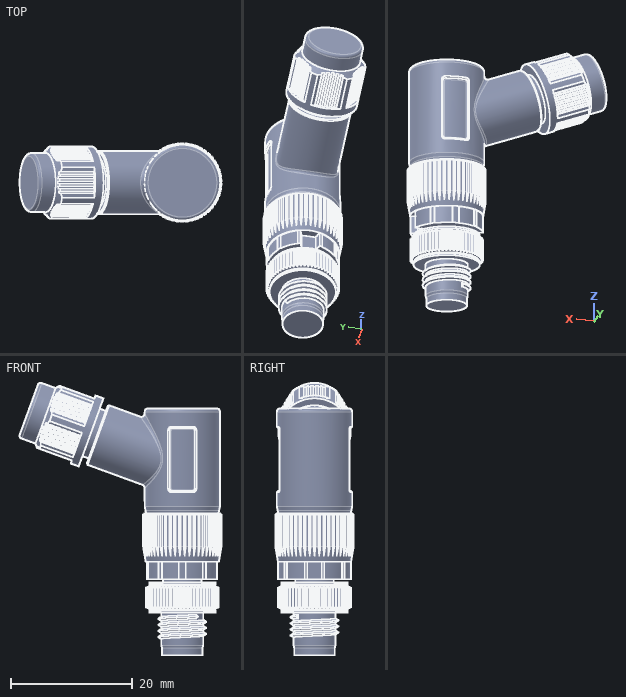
import cadquery as cq
import math


tip_radius = 3.37
tip_height = 1.23
plug_radius = 3.5
plug_shoulder_z = 1.7
thread_radius = 4.0
thread_pitch = 1.0
thread_turns = 3.53
thread_start_angle = 120.0
thread_start_z = 2.88
thread_root_width = 0.85
thread_embed = 0.15

nut_bottom_z = 7.06
nut_top_z = 12.07
nut_radius = 6.05
nut_rim_radius = 5.5
nut_notch_radius = 5.35
nut_rim_height = 0.33
nut_notch_height = 0.26
nut_chamfer_height = 0.31
nut_knurl_count = 60
nut_knurl_root_radius = 5.75
nut_knurl_land = 0.12

neck_radius = 3.2
collar_bottom_z = 12.58
collar_radius = 6.08
collar_panel_radius = 5.98
front_rib_width = 1.1
side_rib_width = 0.72
side_rib_angle = 37.5
slot_floor_width = 2.36
slot_floor_radius = 4.6
slot_mouth_width = 3.28
slot_mouth_radius = 5.85
slot_rib_width = 4.15

sleeve_bottom_z = 15.46
sleeve_cone_top_z = 18.0
sleeve_top_z = 23.48
sleeve_radius = 6.5
sleeve_bottom_radius = 6.07
sleeve_top_chamfer = 0.25
sleeve_knurl_count = 50
sleeve_knurl_root_radius = 6.24
sleeve_knurl_land = 0.4

body_radius = 6.25
body_foot_radius = 6.0
body_taper_radius = 6.12
body_taper_z = 23.97
body_straight_z = 24.66
body_top_z = 40.83
body_top_fillet = 0.57

plate_center_z = 32.38
plate_width = 4.75
plate_height = 10.85
plate_corner_radius = 0.35
plate_depth = 0.46
plate_bevel = 0.27
plate_foot_fillet = 0.185

arm_tilt = 20.0
arm_axis_z = 31.36
arm_radius = 5.25
arm_end = 14.95
arm_end_chamfer = 0.2
arm_blend_radius = 0.5
arm_neck_radius = 4.2
gland_start = 16.03
gland_flats_start = 17.45
gland_chamfer_start = 23.12
gland_end = 24.05
gland_radius = 6.0
gland_flat_apothem = 5.46
gland_flat_count = 6
gland_groove_count = 5
gland_groove_pitch = 0.8
gland_groove_width = 0.4
gland_groove_depth = 0.25
cap_radius = 4.9
cap_fillet = 0.5
cap_end = 27.01

knurl_clearance = 0.05

edge_tolerance = 0.05

overlap = 0.5


def turned(outline):
    """Solid of revolution about Z from (radius, z) points, closed along the axis."""
    first_z = outline[0][1]
    last_z = outline[-1][1]
    points = [(0, first_z)] + outline + [(0, last_z)]
    return cq.Workplane("XZ").polyline(points).close().revolve(360, (0, 0), (0, 1))


def cylinder(radius, z_from, z_to):
    """Upright cylinder on the Z axis between two heights."""
    return cq.Workplane("XY").workplane(offset=z_from).circle(radius).extrude(z_to - z_from)


def knurl_prism(count, crest_radius, root_radius, land, z_from, z_to):
    """Toothed prism with V grooves; the teeth stand at 90 degrees and at equal steps from it."""
    pitch_angle = 2 * math.pi / count
    half_land = land / 2 / crest_radius
    points = []
    for tooth in range(count):
        centre = math.pi / 2 + tooth * pitch_angle
        for radius, angle in (
            (crest_radius, centre - half_land),
            (crest_radius, centre + half_land),
            (root_radius, centre + pitch_angle / 2),
        ):
            points.append((radius * math.cos(angle), radius * math.sin(angle)))
    return cq.Workplane("XY").workplane(offset=z_from).polyline(points).close().extrude(z_to - z_from)


def make_plug():
    """Stepped plug barrel with a single-start right-hand external thread."""
    core = turned([
        (tip_radius, 0),
        (tip_radius, tip_height),
        (plug_radius, plug_shoulder_z),
        (plug_radius, nut_bottom_z + overlap),
    ])
    root = plug_radius - thread_embed
    helix = cq.Wire.makeHelix(thread_pitch, thread_pitch * thread_turns, root)
    thread = (
        cq.Workplane("XZ")
        .polyline([
            (root, -thread_root_width / 2),
            (thread_radius, 0),
            (root, thread_root_width / 2),
        ])
        .close()
        .sweep(cq.Workplane(helix), isFrenet=True)
        .rotate((0, 0, 0), (0, 0, 1), thread_start_angle)
        .translate((0, 0, thread_start_z))
    )
    return core.union(thread)


def make_neck():
    """Plain neck between the coupling nut and the collar."""
    return cylinder(neck_radius, nut_top_z - overlap, collar_bottom_z + overlap)


def make_coupling_nut():
    """Knurled nut, symmetric top to bottom, with a notched rim at each end."""
    notch_z = nut_rim_height
    chamfer_z = notch_z + nut_notch_height
    knurl_z = chamfer_z + nut_chamfer_height
    lower_half = [
        (nut_rim_radius, nut_bottom_z),
        (nut_rim_radius, nut_bottom_z + notch_z),
        (nut_notch_radius, nut_bottom_z + chamfer_z),
        (nut_radius, nut_bottom_z + knurl_z),
    ]
    upper_half = [(radius, nut_bottom_z + nut_top_z - z) for radius, z in reversed(lower_half)]
    teeth = knurl_prism(
        nut_knurl_count, nut_radius + knurl_clearance, nut_knurl_root_radius, nut_knurl_land,
        nut_bottom_z, nut_top_z,
    )
    return turned(lower_half + upper_half).intersect(teeth)


def make_collar():
    """Collar with low ribs around it and a keyed slot on the -X and +X sides."""
    height = sleeve_bottom_z - collar_bottom_z
    rib_envelope = cylinder(collar_radius, collar_bottom_z, sleeve_bottom_z)
    collar = cylinder(collar_panel_radius, collar_bottom_z, sleeve_bottom_z)

    def rib(width, angle):
        return (
            cq.Workplane("XY", origin=(0, 0, collar_bottom_z))
            .center(collar_radius / 2, 0)
            .rect(collar_radius, width)
            .extrude(height)
            .rotate((0, 0, 0), (0, 0, 1), angle)
            .intersect(rib_envelope)
        )

    def slot(angle):
        flare = (slot_mouth_width - slot_floor_width) / (slot_mouth_radius - slot_floor_radius)
        outer_radius = collar_radius + overlap
        outer_width = slot_floor_width + flare * (outer_radius - slot_floor_radius)
        return (
            cq.Workplane("XY", origin=(0, 0, collar_bottom_z))
            .polyline([
                (slot_floor_radius, -slot_floor_width / 2),
                (outer_radius, -outer_width / 2),
                (outer_radius, outer_width / 2),
                (slot_floor_radius, slot_floor_width / 2),
            ])
            .close()
            .extrude(height)
            .rotate((0, 0, 0), (0, 0, 1), angle)
        )

    for facing in (-90, 90):
        collar = collar.union(rib(front_rib_width, facing))
        for side in (-1, 1):
            collar = collar.union(rib(side_rib_width, facing + side * side_rib_angle))
    collar = collar.union(rib(slot_rib_width, 180))
    return collar.cut(slot(180)).cut(slot(0))


def make_sleeve():
    """Knurled sleeve whose grooves run out on the cone at its lower end."""
    blank = turned([
        (sleeve_bottom_radius, sleeve_bottom_z),
        (sleeve_radius, sleeve_cone_top_z),
        (sleeve_radius, sleeve_top_z - sleeve_top_chamfer),
        (sleeve_radius - sleeve_top_chamfer, sleeve_top_z),
    ])
    teeth = knurl_prism(
        sleeve_knurl_count, sleeve_radius + knurl_clearance, sleeve_knurl_root_radius, sleeve_knurl_land,
        sleeve_bottom_z, sleeve_top_z,
    )
    return blank.intersect(teeth)


def along_arm(shape):
    """Move a shape built along Z so that it lies on the slanted arm axis."""
    return shape.rotate((0, 0, 0), (0, 1, 0), arm_tilt - 90).translate((0, 0, arm_axis_z))


def make_body_with_arm():
    """Upright body and slanted arm barrel, blended where they meet."""
    body = turned([
        (body_foot_radius, sleeve_top_z),
        (body_taper_radius, body_taper_z),
        (body_radius, body_straight_z),
        (body_radius, body_top_z),
    ])
    body = body.faces(">Z").edges().fillet(body_top_fillet)
    arm = cylinder(arm_radius, 0, arm_end).faces(">Z").chamfer(arm_end_chamfer)
    joined = body.union(along_arm(arm))
    seam_box = cq.selectors.BoxSelector(
        (-body_radius - overlap, -body_radius, body_straight_z + overlap),
        (-overlap, body_radius, body_top_z - body_top_fillet - overlap),
    )
    return joined.edges(seam_box).edges("not %CIRCLE").edges("not %LINE").fillet(arm_blend_radius)


def cut_name_plate(body, side):
    """Sink a rounded window into the flank facing Y = side; its floor is concentric with the body."""
    floor_radius = body_radius - plate_depth
    reach = body_radius + overlap
    window = (
        cq.Workplane("XZ", origin=(0, side * reach, plate_center_z))
        .rect(plate_width - 2 * plate_bevel, plate_height - 2 * plate_bevel)
        .extrude(side * (reach - floor_radius / 2))
        .edges("|Y")
        .fillet(plate_corner_radius)
        .cut(cylinder(floor_radius, body_straight_z, body_top_z))
    )
    recessed = body.cut(window)
    near_rim = cq.selectors.BoxSelector(
        (-plate_width / 2, 0, plate_center_z - plate_height / 2),
        (plate_width / 2, side * reach, plate_center_z + plate_height / 2),
    )

    def edges_at(radius):
        """Window edges whose midpoints lie on the cylinder of this radius."""
        def on_cylinder(edge):
            midpoint = edge.positionAt(0.5)
            return abs(math.hypot(midpoint.x, midpoint.y) - radius) < edge_tolerance
        return recessed.edges(near_rim).filter(on_cylinder)

    recessed = edges_at(body_radius).chamfer(plate_bevel)
    return edges_at(floor_radius).fillet(plate_foot_fillet)


def make_gland_nut():
    """Clamping nut with knurled flats, plus the round cap closing it; built along Z."""
    nut = turned([
        (gland_radius, gland_start),
        (gland_radius, gland_chamfer_start),
        (cap_radius, gland_end),
    ])
    length = cap_end - gland_flats_start
    groove_floor = gland_flat_apothem - gland_groove_depth
    for flat in range(gland_flat_count):
        face = (
            cq.Workplane("XY", origin=(gland_flat_apothem + overlap, 0, gland_flats_start))
            .rect(2 * overlap, 2 * gland_radius)
            .extrude(length)
        )
        grooves = (
            cq.Workplane("XY", origin=(groove_floor + overlap, 0, gland_flats_start))
            .rarray(1, gland_groove_pitch, 1, gland_groove_count)
            .rect(2 * overlap, gland_groove_width)
            .extrude(length)
        )
        turn = flat * 360 / gland_flat_count
        nut = nut.cut(face.union(grooves).rotate((0, 0, 0), (0, 0, 1), turn))
    neck = cylinder(arm_neck_radius, arm_end - overlap, gland_start + overlap)
    cap = cylinder(cap_radius, gland_start + overlap, cap_end).faces(">Z").edges().fillet(cap_fillet)
    return nut.union(neck).union(cap)


result = make_body_with_arm()
for flank in (-1, 1):
    result = cut_name_plate(result, flank)
result = result.union(along_arm(make_gland_nut()))
result = result.union(make_sleeve())
result = result.union(make_collar())
result = result.union(make_neck())
result = result.union(make_coupling_nut())
result = result.union(make_plug())